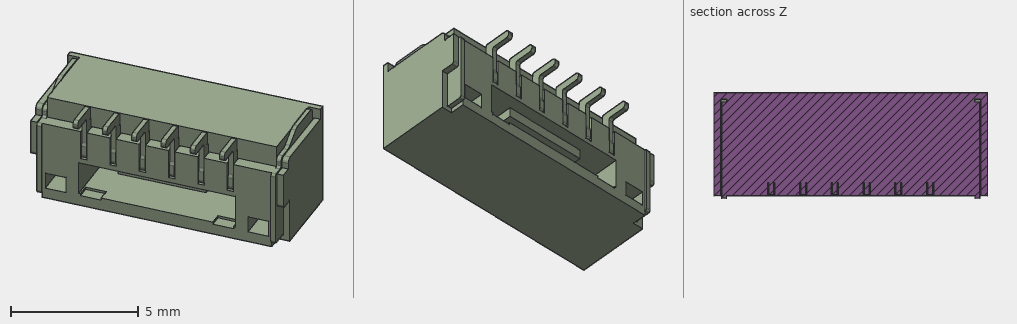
import cadquery as cq


width = 10.75
depth = 4.05
height = 4.3
half_width = width / 2
step_depth = 0.52
step_height = 3.4

roof_half_width = 4.88
shoulder_height = 3.85
shoulder_radius = 0.19
rear_lip = 0.26
shoulder_end = depth - rear_lip
notch_depth = 0.66
notch_height = 1.88
notch_radius = 0.11

solder_top = 4.35

clip_thickness = 0.19
clip_gap = 0.03
clip_outer = roof_half_width + clip_thickness
slot_outer = clip_outer + clip_gap
clip_bottom = 0.23
clip_front = -0.1
clip_riser_front = 0.48
clip_back = 3.7
clip_crest_front = 2.11
clip_crest_foot = 1.3
clip_crest_radius = 0.43
clip_radius = 0.1
clip_back_radius = 0.17

contact_count = 6
contact_pitch = 1.25
contact_thickness = 0.2
contact_slot_width = 0.27
contact_slot_bottom = 2.16
contact_front = 0.06
contact_upper_back = 0.45
contact_ledge = 3.76
contact_foot_front = 0.02
foot_shoulder_top = 2.88
foot_shoulder_bottom = 2.73
foot_radius = 0.16
tail_end = -0.85
tail_thickness = 0.37
tail_tip_radius = 0.14
bend_radius = 0.1

window_half_width = 3.33
window_bottom = 0.55
window_top = 1.95
tongue_half_width = 1.87
tongue_bottom = 1.49
port_inner = 3.87
port_outer = 4.75
port_bottom = 0.45
port_top = 1.14
recess_inner = 2.38
recess_outer = 3.26
recess_depth = 0.53
recess_bottom = port_bottom


def block(x0, x1, y0, y1, z0, z1):
    """Box between opposite corners."""
    return cq.Workplane("XY").box(x1 - x0, y1 - y0, z1 - z0, centered=False).translate((x0, y0, z0))


def plate(points, x0, thickness):
    """Plate with a YZ outline, extruded towards +X from x0."""
    return cq.Workplane("YZ").polyline(points).close().extrude(thickness).translate((x0, 0, 0))


def round_corner(solid, y, z, radius):
    """Round the edge along X that passes through (y, z)."""
    tolerance = 0.001
    corner = cq.selectors.BoxSelector(
        (-width, y - tolerance, z - tolerance), (width, y + tolerance, z + tolerance)
    )
    return solid.edges("|X").edges(corner).fillet(radius)


def on_both_sides(solid):
    """Solid together with its mirror image across the YZ plane."""
    return solid.union(solid.mirror("YZ"))


def make_side():
    """Left shoulder with its lower notch and the slot for the clip."""
    shoulder = plate(
        [
            (0, 0),
            (0, step_height),
            (step_depth, step_height),
            (step_depth, shoulder_height),
            (shoulder_end, shoulder_height),
            (shoulder_end, 0),
        ],
        -half_width,
        half_width - roof_half_width,
    )
    shoulder = round_corner(shoulder, step_depth, shoulder_height, shoulder_radius)
    notch = block(-half_width, -roof_half_width, -notch_depth, notch_depth, -notch_height, notch_height)
    shoulder = round_corner(shoulder.cut(notch), 0, notch_height, notch_radius)
    slot = block(-slot_outer, -roof_half_width, 0, shoulder_end, clip_bottom, height)
    return shoulder.cut(slot)


def make_clip():
    """Left clip: a flat plate with a raised crest and a proud front edge."""
    clip = plate(
        [
            (clip_front, clip_bottom),
            (clip_front, step_height),
            (clip_riser_front, step_height),
            (clip_riser_front, shoulder_height),
            (clip_crest_foot, shoulder_height),
            (clip_crest_front, solder_top),
            (clip_back, solder_top),
            (clip_back, clip_bottom),
        ],
        -clip_outer,
        clip_thickness,
    )
    clip = round_corner(clip, clip_front, clip_bottom, clip_radius)
    clip = round_corner(clip, clip_front, step_height, clip_radius)
    clip = round_corner(clip, clip_riser_front, step_height, clip_radius)
    clip = round_corner(clip, clip_riser_front, shoulder_height, shoulder_radius)
    clip = round_corner(clip, clip_crest_foot, shoulder_height, clip_crest_radius)
    clip = round_corner(clip, clip_crest_front, solder_top, clip_crest_radius)
    return round_corner(clip, clip_back, solder_top, clip_back_radius)


def make_contact():
    """Contact bent forward into a solder tail, centred on X = 0."""
    tail_bottom = solder_top - tail_thickness
    contact = plate(
        [
            (step_depth, contact_slot_bottom),
            (contact_foot_front, contact_slot_bottom),
            (contact_foot_front, foot_shoulder_bottom),
            (contact_front, foot_shoulder_top),
            (contact_front, tail_bottom),
            (tail_end, tail_bottom),
            (tail_end, solder_top),
            (contact_upper_back, solder_top),
            (contact_upper_back, contact_ledge),
            (step_depth, contact_ledge),
        ],
        -contact_thickness / 2,
        contact_thickness,
    )
    contact = round_corner(contact, contact_foot_front, contact_slot_bottom, foot_radius)
    contact = round_corner(contact, contact_front, tail_bottom, bend_radius)
    contact = round_corner(contact, contact_upper_back, solder_top, bend_radius)
    contact = round_corner(contact, tail_end, tail_bottom, tail_tip_radius)
    return round_corner(contact, tail_end, solder_top, tail_tip_radius)


def make_openings():
    """Central window with corner recesses, and the two side ports."""
    window = block(-window_half_width, window_half_width, 0, depth, window_bottom, window_top)
    tongue = block(-tongue_half_width, tongue_half_width, step_depth, depth, tongue_bottom, window_top)
    recess = block(-recess_outer, -recess_inner, 0, recess_depth, recess_bottom, window_bottom)
    port = block(-port_outer, -port_inner, 0, depth, port_bottom, port_top)
    return window.cut(tongue).union(on_both_sides(recess)).union(on_both_sides(port))


base = block(-roof_half_width, roof_half_width, 0, depth, 0, step_height)
roof = block(-roof_half_width, roof_half_width, step_depth, depth, step_height, height)
lip = block(-half_width, half_width, shoulder_end, depth, 0, height)
housing = base.union(roof).union(lip).union(on_both_sides(make_side()))
housing = housing.cut(make_openings())
result = housing.union(on_both_sides(make_clip()))

half_slot = contact_slot_width / 2
contact_slot = block(-half_slot, half_slot, 0, step_depth, contact_slot_bottom, step_height)
contact = make_contact()
for index in range(contact_count):
    x = (index - (contact_count - 1) / 2) * contact_pitch
    result = result.cut(contact_slot.translate((x, 0, 0)))
    result = result.union(contact.translate((x, 0, 0)))